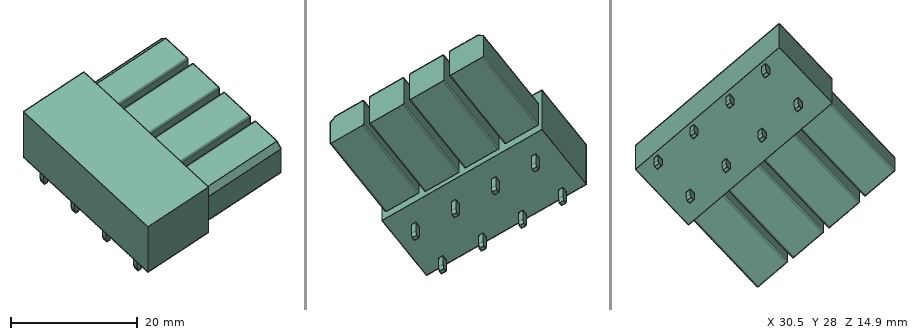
import cadquery as cq

pole_count = 4
pole_pitch = 7.62

block_width = pole_count * pole_pitch
block_depth = 12.5
block_height = 11.43

finger_length = 15.5
finger_gap = 1.07
finger_top = block_height - 2.45
outer_margin = 0.65
outer_chamfer = 1.0
edge_radius = 0.25

end_finger_bottom = 1.9
second_finger_bottom = 1.5
third_finger_bottom = 1.25
finger_bottoms = [end_finger_bottom, second_finger_bottom, third_finger_bottom, end_finger_bottom]

pin_row_count = 2
pin_row_pitch = 7.62
front_row_y = 1.1
pin_thickness = 0.85
pin_width = 1.05
pin_length = 3.47
pin_tip_length = 1.0
pin_tip_width = 0.6


def pole_x(index):
    """X of a pole's centre line."""
    return (index - (pole_count - 1) / 2) * pole_pitch


def make_block():
    """The rectangular body that carries the fingers and pins."""
    return cq.Workplane("XY").box(block_width, block_depth, block_height, centered=(True, False, False))


def make_finger(index):
    """One plug finger; an end finger has a chamfered outer top corner."""
    is_first = index == 0
    is_last = index == pole_count - 1
    half_width = (pole_pitch - finger_gap) / 2
    left = pole_x(index) - half_width
    right = pole_x(index) + half_width
    bottom = finger_bottoms[index]
    if is_first:
        left = -block_width / 2 + outer_margin
    if is_last:
        right = block_width / 2 - outer_margin

    finger = (
        cq.Workplane("XY", origin=(left, block_depth, bottom))
        .box(right - left, finger_length, finger_top - bottom, centered=False)
    )
    if is_first:
        finger = finger.edges("|Y and >Z and <X").chamfer(outer_chamfer)
        rounded_edges = "|Y and (<Z or (>Z and >X))"
    elif is_last:
        finger = finger.edges("|Y and >Z and >X").chamfer(outer_chamfer)
        rounded_edges = "|Y and (<Z or (>Z and <X))"
    else:
        rounded_edges = "|Y"
    return finger.edges(rounded_edges).fillet(edge_radius)


def make_housing():
    """Block and plug fingers as one solid."""
    housing = make_block()
    for index in range(pole_count):
        housing = housing.union(make_finger(index))
    return housing


def make_pin(x, y):
    """A flat pin below the block, with its tip narrowed front and back."""
    shoulder_z = pin_tip_length - pin_length
    profile = [
        (y - pin_width / 2, 0),
        (y + pin_width / 2, 0),
        (y + pin_width / 2, shoulder_z),
        (y + pin_tip_width / 2, -pin_length),
        (y - pin_tip_width / 2, -pin_length),
        (y - pin_width / 2, shoulder_z),
    ]
    return (
        cq.Workplane("YZ", origin=(x, 0, 0))
        .polyline(profile)
        .close()
        .extrude(pin_thickness / 2, both=True)
    )


housing = make_housing()

pins = []
for row in range(pin_row_count):
    for pole in range(pole_count):
        pins.append(make_pin(pole_x(pole), front_row_y + row * pin_row_pitch))

result = cq.Compound.makeCompound([housing.val(), *[pin.val() for pin in pins]])